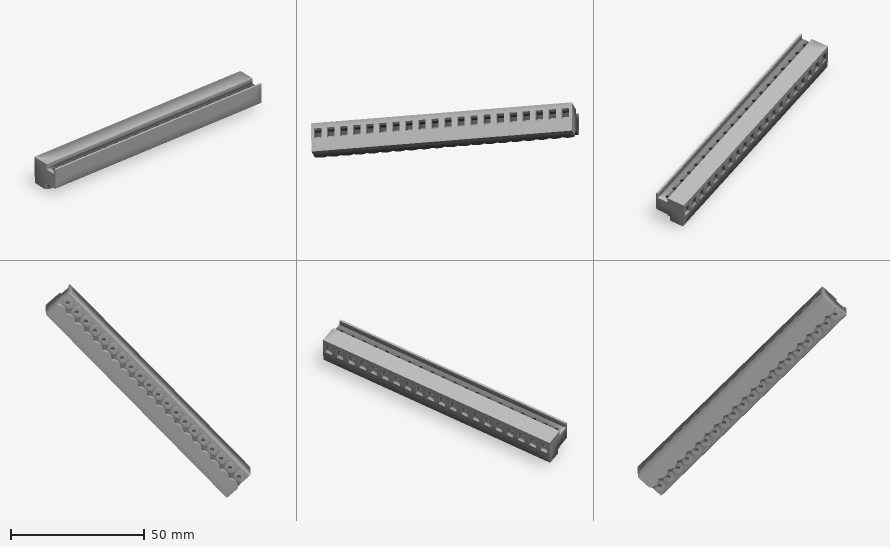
import cadquery as cq

length = 100.0
width = 12.4
height = 11.3

poles = 20
pitch = length / poles

taper_top = 5.0
taper_bottom = 0.7
taper_inset = 0.3
toe_inset = 0.4
foot_width = 6.1
foot_height = 2.2
block_width = 7.2
overhang_height = 2.8
channel_floor = 9.1
lip_thickness = 0.8
corner_radius = 0.6

bulge = block_width - foot_width
boss_overlap = 0.5
boss_diameter = 4.2

hole_diameter = 1.6
hole_x = 8.9

slot_width = 2.8
slot_bottom = 5.1
slot_top = 9.1
slot_depth = 3.5
sill_depth = 0.8
sill_rise = 0.3
kerb_depth = 0.6
slot_floor = 6.1
ceiling_depth = 1.2
ceiling_drop = 0.4

left = -width / 2
bottom = -height / 2
pole_ys = [(i - (poles - 1) / 2) * pitch for i in range(poles)]


def make_body():
    """Constant cross-section with a rounded lower edge on the overhang."""
    outline = [
        (toe_inset, 0),
        (foot_width, 0),
        (foot_width, foot_height),
        (block_width, foot_height),
        (block_width, overhang_height),
        (width, overhang_height),
        (width, height),
        (width - lip_thickness, height),
        (width - lip_thickness, channel_floor),
        (block_width, channel_floor),
        (block_width, height),
        (0, height),
        (0, taper_top),
        (taper_inset, taper_bottom),
    ]
    section = cq.Workplane("XZ", origin=(left, length / 2, bottom)).polyline(outline).close()
    body = section.extrude(length)
    corner = cq.selectors.NearestToPointSelector((left + width, 0, bottom + overhang_height))
    return body.edges(corner).fillet(corner_radius)


def make_bulges():
    """Row of shallow arcs that meet at the midpoints between poles."""
    inner = left + foot_width
    core = left + foot_width / 2
    row = cq.Workplane("XY", origin=(0, 0, bottom)).moveTo(core, -length / 2).lineTo(inner, -length / 2)
    for y in pole_ys:
        row = row.threePointArc((inner + bulge, y), (inner, y + pitch / 2))
    return row.lineTo(core, length / 2).close().extrude(foot_height)


def make_slot(y):
    """Wire opening whose sill curves up to a flat inner floor under a sloped ceiling."""
    front_face = cq.Workplane("XZ", origin=(left, y + slot_width / 2, bottom))
    profile = (
        front_face.moveTo(0, slot_bottom)
        .lineTo(sill_depth, slot_bottom + sill_rise)
        .tangentArcPoint((sill_depth + kerb_depth, slot_floor), relative=False)
        .lineTo(slot_depth, slot_floor)
        .lineTo(slot_depth, slot_top - ceiling_drop)
        .lineTo(ceiling_depth, slot_top - ceiling_drop)
        .lineTo(0, slot_top)
        .close()
    )
    return profile.extrude(slot_width)


def make_rounds(diameter, z_start, z_end):
    """Upright cylinders on the screw axes."""
    return (
        cq.Workplane("XY", origin=(left + hole_x, 0, bottom + z_start))
        .pushPoints([(0, y) for y in pole_ys])
        .circle(diameter / 2)
        .extrude(z_end - z_start)
    )


bosses = make_rounds(boss_diameter, foot_height, overhang_height + boss_overlap)
result = make_body().union(make_bulges()).union(bosses)
for y in pole_ys:
    result = result.cut(make_slot(y))
result = result.cut(make_rounds(hole_diameter, 0, height))